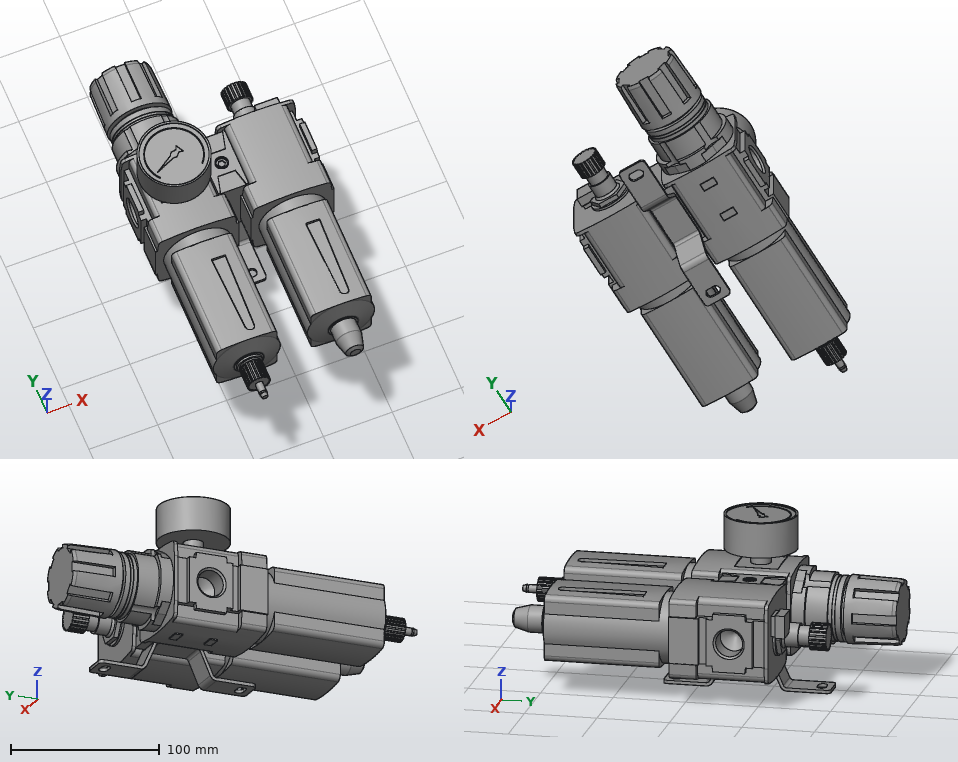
import cadquery as cq
import math

OVERALL_X = 129.5
UNIT_X = 34.5

FLANGE_TOP_Y = 26.7
FLANGE_THICKNESS = 2.5
UPPER_TOP_Y = FLANGE_TOP_Y - FLANGE_THICKNESS
LOWER_TOP_Y = -23.0
BODY_END_Y = -41.5

CROWN_Z = 29.8
CROWN_RADIUS = 149.2
FLAT_HALF_Z = 16.2
LOWER_FLAT_X = 28.8
LOWER_CORNER_X = 27.7
UPPER_SIDE_X = 22.8
UPPER_SLAB_X = 26.5
CORNER_FILLET = 3.5
LUBRICATOR_UPPER_FILLET = 4.5
PAD_X = OVERALL_X / 2 - UNIT_X

LOWER_PAD_TOP_Y = -21.2
PORT_PAD_TOP_Y = 16.2
PORT_PAD_END_Y = -15.7
PORT_EAR_HALF_Y = 11.0
PORT_EAR_TAPER = 0.5
PORT_EAR_HALF_Z = 20.2
PORT_DIAMETER = 18.5
PORT_MOUTH_DIAMETER = 21.5
PORT_DEPTH = 15.7
PORT_TIP_DEPTH = 7.9

COLLAR_DIAMETER = 48.7
COLLAR_BASE_Y = 35.9
COLLAR_TOP_Y = 51.0
BONNET_GROOVE_LOW_Y = 53.7
BONNET_GROOVE_HIGH_Y = 55.8
BONNET_NECK_Y = 59.7
BONNET_RING_DIAMETER = 45.0
BONNET_GROOVE_DIAMETER = 43.7
BONNET_NECK_DIAMETER = 37.5
BONNET_DISC_DIAMETER = 55.0
SCREW_SEAT_Y = 33.0
SCREW_DIAMETER = 14.0
SCREW_CENTER_R = 30.5
SCREW_ANGLE = 56.0
RELIEF_RIDGE_R = 26.5
RELIEF_HALF_ANGLE = 21.0
FOOT_SIZE = (10.5, 5.5)
FOOT_Y = 12.8
FOOT_BOTTOM_Z = -30.5
FOOT_ROOT = 2.5

KNOB_BASE_Y = 62.0
KNOB_TOP_Y = 98.0
KNOB_RIM_DIAMETER = 46.9
KNOB_TOP_DIAMETER = 45.0
KNOB_EDGE = 2.5
KNOB_END_DIAMETER = 43.7
KNOB_GROOVES = 8
KNOB_GROOVE_WIDTH = 7.0
KNOB_GROOVE_FLOOR_R = 19.5
KNOB_GROOVE_END_Y = 67.5

GAUGE_DIAMETER = 50.0
GAUGE_TOP_Z = 63.0
GAUGE_BASE_Z = 39.0
STEM_DIAMETER = 14.0
STEM_END_Z = 26.2
GAUGE_SEAT_Z = 29.0
GAUGE_SEAT_HALF = 15.0
DIAL_DIAMETER = 47.0
DIAL_DEPTH = 0.8
SCALE_RADIUS = 20.2
SCALE_WIDTH = 0.5
SCALE_END_ANGLE = 41.0
NEEDLE_ANGLE = 29.0
NEEDLE_POINT = -17.5
NEEDLE_EDGE = [(-2.4, 1.3), (0, 2.5), (3.7, 1.3), (6.0, 3.1)]
MARK_DEPTH = 0.5

BOWL_DIAMETER = 48.7
BOWL_PRISM_TOP_Y = -50.0
BOWL_HALF_X = 22.0
BOWL_CROWN_Z = BOWL_DIAMETER / 2
BOWL_CORNER_Z = 22.5
BOWL_FILLET = 4.2
FILTER_BOWL_END_Y = -131.0
OIL_BOWL_END_Y = -129.0
BOWL_CONE_LENGTH = 3.7
BOWL_CONE_END_DIAMETER = 22.8
BOWL_COLLAR_DIAMETER = 21.5
BOWL_COLLAR_LENGTH = 0.5
WINDOW_X = 6.0
WINDOW_LENGTH = 59.7
WINDOW_END_GAP = 6.3
WINDOW_TOP_HALF = 5.0
WINDOW_END_HALF = 3.1
WINDOW_FLOOR_Z = 22.0

KNURL_COUNT = 20
KNURL_DEPTH = 0.8
KNURL_WIDTH = 1.0
DRAIN_KNOB_DIAMETER = 16.5
DRAIN_KNOB_TOP_Y = -138.2
DRAIN_KNOB_END_Y = -152.9
DRAIN_NECK_DIAMETER = 15.2
DRAIN_NECK_TOP_Y = -136.6
DRAIN_PIN_DIAMETER = 5.5
DRAIN_PIN_GROOVE_DIAMETER = 4.7
DRAIN_PIN_TIP_DIAMETER = 4.0
DRAIN_GROOVE_TOP_Y = -160.0
DRAIN_GROOVE_END_Y = -161.2
DRAIN_PIN_END_Y = -163.9
NOSE_DIAMETER = 18.5
NOSE_END_DIAMETER = 13.0
NOSE_FACE_DIAMETER = 7.5
NOSE_CONE_Y = -143.5
NOSE_EDGE_Y = -153.5
NOSE_END_Y = -155.0
OIL_KNOB_DIAMETER = 18.5
OIL_KNOB_BASE_Y = 50.3
OIL_KNOB_TOP_Y = 62.0

CAP_X = -0.8
HEX_CORNER_DIAMETER = 27.7
HEX_TOP_Y = 31.5
HEX_WASHER_DIAMETER = 29.3
HEX_WASHER_THICKNESS = 1.5
SIGHT_DIAMETER = 16.5
SIGHT_FLARE_DIAMETER = 18.8
SIGHT_FLARE_Y = 33.2
SIGHT_TOP_Y = 42.5
OIL_NECK_DIAMETER = 14.0
PLUG_X = 12.0
PLUG_Z = 11.0
PLUG_WIDTH = 16.8
PLUG_HEIGHT_Z = 15.7
PLUG_TOP_Y = 36.0
PLUG_FOOT_TOP_Y = 29.5
PLUG_FOOT_INSET = 0.8

CONNECTOR_HALF_X = 11.0
CONNECTOR_TOP_Z = 26.7
CONNECTOR_BOTTOM_Z = -24.0
CONNECTOR_TOP_Y = 22.5
CONNECTOR_END_Y = -21.2
WEDGE_START_Y = 9.0
WEDGE_START_DEPTH = 0.5
WEDGE_END_DEPTH = 1.5
WEDGE_START_HALF_X = 6.3
WEDGE_END_HALF_X = 9.7
CLAMP_SCREW_DIAMETER = 9.2
CLAMP_SCREW_DEPTH = 0.8
CLAMP_HEAD_DIAMETER = 7.5
CLAMP_HEAD_DEPTH = 1.5
CLAMP_SOCKET_DIAMETER = 5.2
CLAMP_SOCKET_DEPTH = 2.5

BRACKET_WIDTH = 20.0
BRACKET_THICKNESS = 2.4
BRACKET_BOTTOM_Z = -47.0
BRACKET_HALF_Y = 57.5
BRACKET_FOOT_START_Y = 26.2
BRACKET_LEG_ANGLE = 66.0
BRACKET_INNER_BEND = 2.5
BRACKET_OUTER_BEND = BRACKET_INNER_BEND + BRACKET_THICKNESS
BRACKET_CORNER_FILLET = 3.0
SLOT_LENGTH = 10.5
SLOT_WIDTH = 6.3
SLOT_Y = 50.0



def turned(profile):
    """Solid of revolution about the Y axis from (diameter, y) steps."""
    points = [(diameter / 2, y) for diameter, y in profile]
    points = [(0, points[0][1])] + points + [(0, points[-1][1])]
    return cq.Workplane("XY").polyline(points).close().revolve(360, (0, 0, 0), (0, 1, 0))


def across(y_high):
    """Sketch plane normal to Y; extruding runs towards -Y from y_high."""
    return cq.Workplane("XZ", origin=(0, y_high, 0))


def box(x_range, y_range, z_range):
    low, high = zip(sorted(x_range), sorted(y_range), sorted(z_range))
    size = [b - a for a, b in zip(low, high)]
    return cq.Workplane("XY").box(*size, centered=False).translate(low)


def crowned_bar(corner, crown_z, flat_x, fillet, y_high, y_low):
    """Bar along Y with bowed top and bottom, sides plane up to FLAT_HALF_Z, and round corners."""
    x, z = corner
    bar = (
        across(y_high)
        .moveTo(-x, z)
        .threePointArc((0, crown_z), (x, z))
        .lineTo(flat_x, FLAT_HALF_Z)
        .lineTo(flat_x, -FLAT_HALF_Z)
        .lineTo(x, -z)
        .threePointArc((0, -crown_z), (-x, -z))
        .lineTo(-flat_x, -FLAT_HALF_Z)
        .lineTo(-flat_x, FLAT_HALF_Z)
        .close()
        .extrude(y_high - y_low)
    )
    middle_y = (y_high + y_low) / 2
    for corner_x in (-x, x):
        for corner_z in (-z, z):
            nearest = cq.selectors.NearestToPointSelector((corner_x, middle_y, corner_z))
            bar = bar.edges("|Y").edges(nearest).fillet(fillet)
    return bar


def knurled(diameter, y_high, y_low):
    """Cylinder along Y with evenly spaced straight grooves."""
    grooves = (
        across(y_high)
        .polarArray(diameter / 2, 0, 360, KNURL_COUNT)
        .rect(2 * KNURL_DEPTH, KNURL_WIDTH)
        .extrude(y_high - y_low)
    )
    return turned([(diameter, y_high), (diameter, y_low)]).cut(grooves)



def port_pad(side):
    """Raised cross-shaped pad round the port on the outer side (side is -1 or +1)."""
    ear_root = PORT_EAR_HALF_Y + PORT_EAR_TAPER
    upper = [
        (PORT_PAD_TOP_Y, FLAT_HALF_Z),
        (ear_root, FLAT_HALF_Z),
        (PORT_EAR_HALF_Y, PORT_EAR_HALF_Z),
        (-PORT_EAR_HALF_Y, PORT_EAR_HALF_Z),
        (-ear_root, FLAT_HALF_Z),
        (PORT_PAD_END_Y, FLAT_HALF_Z),
    ]
    lower = [(y, -z) for y, z in reversed(upper)]
    face = cq.Workplane("YZ", origin=(UPPER_SLAB_X, 0, 0)).polyline(upper + lower).close()
    pad = face.extrude(PAD_X - UPPER_SLAB_X)
    return pad if side > 0 else pad.mirror("YZ")


def port_hole(side):
    """Chamfered blind hole with a conical end, bored inwards along X."""
    chamfer = (PORT_MOUTH_DIAMETER - PORT_DIAMETER) / 2
    floor_x = PAD_X - PORT_DEPTH
    hole = (
        cq.Workplane("XY")
        .moveTo(PAD_X, 0)
        .lineTo(PAD_X, PORT_MOUTH_DIAMETER / 2)
        .lineTo(PAD_X - chamfer, PORT_DIAMETER / 2)
        .lineTo(floor_x, PORT_DIAMETER / 2)
        .lineTo(floor_x - PORT_TIP_DEPTH, 0)
        .close()
        .revolve(360, (0, 0, 0), (1, 0, 0))
    )
    return hole if side > 0 else hole.mirror("YZ")


def block_section(corner_x, flat_x, y_high, y_low, fillet=CORNER_FILLET):
    """One section of the body block; all sections share the same crown."""
    corner_z = CROWN_Z - CROWN_RADIUS + math.sqrt(CROWN_RADIUS**2 - corner_x**2)
    return crowned_bar((corner_x, corner_z), CROWN_Z, flat_x, fillet, y_high, y_low)


def unit_block(side, upper_fillet=CORNER_FILLET):
    """Body block common to both units, centred on X = 0, with its port on the given side."""
    flange = block_section(LOWER_CORNER_X, LOWER_FLAT_X, FLANGE_TOP_Y, UPPER_TOP_Y)
    upper = block_section(UPPER_SIDE_X, UPPER_SIDE_X, UPPER_TOP_Y, LOWER_TOP_Y, upper_fillet)
    lower = block_section(LOWER_CORNER_X, LOWER_FLAT_X, LOWER_TOP_Y, BODY_END_Y)
    slab = box((-UPPER_SLAB_X, UPPER_SLAB_X), (UPPER_TOP_Y, LOWER_TOP_Y), (-FLAT_HALF_Z, FLAT_HALF_Z))
    lower_pads = box((-PAD_X, PAD_X), (LOWER_TOP_Y, BODY_END_Y), (-FLAT_HALF_Z, FLAT_HALF_Z))
    outer_pad = box(
        (side * UPPER_SIDE_X, side * PAD_X), (LOWER_PAD_TOP_Y, LOWER_TOP_Y), (-FLAT_HALF_Z, FLAT_HALF_Z)
    )
    block = flange.union(upper).union(slab).union(lower).union(lower_pads).union(outer_pad)
    return block.union(port_pad(side)).cut(port_hole(side))


def bonnet():
    """Stepped round bonnet that carries the knob, with clearances for four screws."""
    body = turned([
        (BONNET_DISC_DIAMETER, FLANGE_TOP_Y),
        (BONNET_DISC_DIAMETER, COLLAR_BASE_Y),
        (COLLAR_DIAMETER, COLLAR_BASE_Y),
        (COLLAR_DIAMETER, COLLAR_TOP_Y),
        (BONNET_RING_DIAMETER, COLLAR_TOP_Y),
        (BONNET_RING_DIAMETER, BONNET_GROOVE_LOW_Y),
        (BONNET_GROOVE_DIAMETER, BONNET_GROOVE_LOW_Y),
        (BONNET_GROOVE_DIAMETER, BONNET_GROOVE_HIGH_Y),
        (BONNET_RING_DIAMETER, BONNET_GROOVE_HIGH_Y),
        (BONNET_RING_DIAMETER, BONNET_NECK_Y),
        (BONNET_NECK_DIAMETER, BONNET_NECK_Y),
        (BONNET_NECK_DIAMETER, KNOB_BASE_Y),
    ])
    for angle in (SCREW_ANGLE, 180 - SCREW_ANGLE, 180 + SCREW_ANGLE, -SCREW_ANGLE):
        body = body.cut(screw_scallop(angle)).cut(screw_relief(angle))
    return body


def polar(radius, degrees):
    return (radius * math.cos(math.radians(degrees)), radius * math.sin(math.radians(degrees)))


def screw_scallop(angle):
    """Round clearance that runs down the collar to the screw seat."""
    return (
        across(COLLAR_TOP_Y)
        .center(*polar(SCREW_CENTER_R, angle))
        .circle(SCREW_DIAMETER / 2)
        .extrude(COLLAR_TOP_Y - SCREW_SEAT_Y)
    )


def screw_relief(angle):
    """Two shallow facets on the disc below the screw seat."""
    rim = BONNET_DISC_DIAMETER / 2
    points = [
        polar(rim, angle - RELIEF_HALF_ANGLE),
        polar(RELIEF_RIDGE_R, angle),
        polar(rim, angle + RELIEF_HALF_ANGLE),
        polar(2 * rim, angle),
    ]
    return across(SCREW_SEAT_Y).polyline(points).close().extrude(SCREW_SEAT_Y - FLANGE_TOP_Y)


def regulator_body():
    body = unit_block(-1).union(bonnet())
    for y in (-FOOT_Y, FOOT_Y):
        half_x = FOOT_SIZE[0] / 2
        half_y = FOOT_SIZE[1] / 2
        top_z = FOOT_ROOT - CROWN_Z
        body = body.union(box((-half_x, half_x), (y - half_y, y + half_y), (FOOT_BOTTOM_Z, top_z)))
    stem_hole = (
        cq.Workplane("XY", origin=(0, 0, STEM_END_Z)).circle(STEM_DIAMETER / 2).extrude(CROWN_Z - STEM_END_Z)
    )
    seat_side = (-GAUGE_SEAT_HALF, GAUGE_SEAT_HALF)
    seat = box(seat_side, seat_side, (GAUGE_SEAT_Z, CROWN_Z))
    return body.cut(stem_hole).cut(seat).translate((-UNIT_X, 0, 0))


def lubricator_body():
    hex_base = (
        across(HEX_TOP_Y).polygon(6, HEX_CORNER_DIAMETER).extrude(HEX_TOP_Y - FLANGE_TOP_Y)
    )
    sight = turned([
        (HEX_WASHER_DIAMETER, FLANGE_TOP_Y),
        (HEX_WASHER_DIAMETER, FLANGE_TOP_Y + HEX_WASHER_THICKNESS),
        (SIGHT_FLARE_DIAMETER, FLANGE_TOP_Y + HEX_WASHER_THICKNESS),
        (SIGHT_FLARE_DIAMETER, HEX_TOP_Y),
        (SIGHT_DIAMETER, SIGHT_FLARE_Y),
        (SIGHT_DIAMETER, SIGHT_TOP_Y),
        (OIL_NECK_DIAMETER, SIGHT_TOP_Y),
        (OIL_NECK_DIAMETER, OIL_KNOB_BASE_Y),
    ])
    knob = knurled(OIL_KNOB_DIAMETER, OIL_KNOB_TOP_Y, OIL_KNOB_BASE_Y)
    cap = hex_base.union(sight).union(knob).translate((CAP_X, 0, 0))
    body = unit_block(1, LUBRICATOR_UPPER_FILLET).union(cap).union(filler_plug())
    return body.translate((UNIT_X, 0, 0))


def filler_plug():
    """Square filler plug beside the sight glass, on a slightly smaller foot."""
    foot_width = PLUG_WIDTH - 2 * PLUG_FOOT_INSET
    foot_height = PLUG_HEIGHT_Z - 2 * PLUG_FOOT_INSET
    head = across(PLUG_TOP_Y).center(PLUG_X, PLUG_Z).rect(PLUG_WIDTH, PLUG_HEIGHT_Z)
    foot = across(PLUG_FOOT_TOP_Y).center(PLUG_X, PLUG_Z).rect(foot_width, foot_height)
    return head.extrude(PLUG_TOP_Y - PLUG_FOOT_TOP_Y).union(foot.extrude(PLUG_FOOT_TOP_Y - FLANGE_TOP_Y))



def regulator_knob():
    knob = turned([
        (KNOB_RIM_DIAMETER, KNOB_BASE_Y),
        (KNOB_TOP_DIAMETER, KNOB_TOP_Y - KNOB_EDGE),
        (KNOB_END_DIAMETER, KNOB_TOP_Y),
    ])
    groove_depth = KNOB_RIM_DIAMETER / 2 - KNOB_GROOVE_FLOOR_R
    grooves = (
        across(KNOB_TOP_Y)
        .polarArray(KNOB_GROOVE_FLOOR_R + groove_depth / 2, 0, 360, KNOB_GROOVES)
        .rect(groove_depth, KNOB_GROOVE_WIDTH)
        .extrude(KNOB_TOP_Y - KNOB_GROOVE_END_Y)
    )
    return knob.cut(grooves).translate((-UNIT_X, 0, 0))



def gauge():
    case = cq.Workplane("XY", origin=(0, 0, GAUGE_BASE_Z)).circle(GAUGE_DIAMETER / 2)
    stem = cq.Workplane("XY", origin=(0, 0, STEM_END_Z)).circle(STEM_DIAMETER / 2)
    body = case.extrude(GAUGE_TOP_Z - GAUGE_BASE_Z).union(stem.extrude(GAUGE_BASE_Z - STEM_END_Z))
    dial_z = GAUGE_TOP_Z - DIAL_DEPTH
    dial = cq.Workplane("XY", origin=(0, 0, dial_z)).circle(DIAL_DIAMETER / 2).extrude(DIAL_DEPTH)
    marks = scale_arc(dial_z - MARK_DEPTH).union(needle(dial_z - MARK_DEPTH))
    return body.cut(dial).cut(marks).translate((-UNIT_X, 0, 0))


def scale_arc(floor_z):
    """Engraved arc of the dial scale, open at the bottom."""
    inner = SCALE_RADIUS - SCALE_WIDTH / 2
    outer = SCALE_RADIUS + SCALE_WIDTH / 2
    start = 180 + SCALE_END_ANGLE
    end = -SCALE_END_ANGLE
    return (
        cq.Workplane("XY", origin=(0, 0, floor_z))
        .moveTo(*polar(outer, start))
        .threePointArc((0, outer), polar(outer, end))
        .lineTo(*polar(inner, end))
        .threePointArc((0, inner), polar(inner, start))
        .close()
        .extrude(MARK_DEPTH)
    )


def needle(floor_z):
    """Engraved needle: long point, wide hub, narrow neck and flared tail."""
    lower = [(along, -off) for along, off in reversed(NEEDLE_EDGE)]
    return (
        cq.Workplane("XY", origin=(0, 0, floor_z))
        .polyline([(NEEDLE_POINT, 0)] + NEEDLE_EDGE + lower)
        .close()
        .extrude(MARK_DEPTH)
        .rotate((0, 0, 0), (0, 0, 1), NEEDLE_ANGLE)
    )



def bowl(end_y):
    """Round bowl with a squared lower part, shallow conical end and a tapered sight window."""
    cone_end_y = end_y - BOWL_CONE_LENGTH
    shell = turned([
        (BOWL_DIAMETER, BODY_END_Y),
        (BOWL_DIAMETER, end_y),
        (BOWL_CONE_END_DIAMETER, cone_end_y),
        (BOWL_COLLAR_DIAMETER, cone_end_y),
        (BOWL_COLLAR_DIAMETER, cone_end_y - BOWL_COLLAR_LENGTH),
    ])
    corner = (BOWL_HALF_X, BOWL_CORNER_Z)
    prism = crowned_bar(corner, BOWL_CROWN_Z, BOWL_HALF_X, BOWL_FILLET, BOWL_PRISM_TOP_Y, end_y)
    return shell.union(prism).cut(window(end_y + WINDOW_END_GAP))


def window(end_y):
    """Recess in the crowned face that narrows to a rounded end."""
    round_y = end_y + WINDOW_END_HALF
    top_y = end_y + WINDOW_LENGTH
    return (
        cq.Workplane("XY", origin=(WINDOW_X, 0, WINDOW_FLOOR_Z))
        .moveTo(-WINDOW_TOP_HALF, top_y)
        .lineTo(WINDOW_TOP_HALF, top_y)
        .lineTo(WINDOW_END_HALF, round_y)
        .threePointArc((0, end_y), (-WINDOW_END_HALF, round_y))
        .close()
        .extrude(BOWL_CROWN_Z - WINDOW_FLOOR_Z + 2.5)
    )


def filter_bowl():
    """Bowl of the filter regulator with its knurled drain knob and pin."""
    neck_top_y = FILTER_BOWL_END_Y - BOWL_CONE_LENGTH
    pin = turned([
        (NOSE_DIAMETER, neck_top_y),
        (NOSE_DIAMETER, DRAIN_NECK_TOP_Y),
        (DRAIN_NECK_DIAMETER, DRAIN_NECK_TOP_Y),
        (DRAIN_NECK_DIAMETER, DRAIN_KNOB_TOP_Y),
        (DRAIN_PIN_DIAMETER, DRAIN_KNOB_TOP_Y),
        (DRAIN_PIN_DIAMETER, DRAIN_GROOVE_TOP_Y),
        (DRAIN_PIN_GROOVE_DIAMETER, DRAIN_GROOVE_TOP_Y),
        (DRAIN_PIN_GROOVE_DIAMETER, DRAIN_GROOVE_END_Y),
        (DRAIN_PIN_DIAMETER, DRAIN_GROOVE_END_Y),
        (DRAIN_PIN_TIP_DIAMETER, DRAIN_PIN_END_Y),
    ])
    knob = knurled(DRAIN_KNOB_DIAMETER, DRAIN_KNOB_TOP_Y, DRAIN_KNOB_END_Y)
    return bowl(FILTER_BOWL_END_Y).union(pin).union(knob).translate((-UNIT_X, 0, 0))


def oil_bowl():
    """Bowl of the lubricator with its tapered nose."""
    nose = turned([
        (NOSE_DIAMETER, OIL_BOWL_END_Y - BOWL_CONE_LENGTH),
        (NOSE_DIAMETER, NOSE_CONE_Y),
        (NOSE_END_DIAMETER, NOSE_EDGE_Y),
        (NOSE_FACE_DIAMETER, NOSE_END_Y),
    ])
    return bowl(OIL_BOWL_END_Y).union(nose).translate((UNIT_X, 0, 0))



def connector():
    """Block between the two units, waisted where it passes their side slabs."""
    waist_x = UNIT_X - UPPER_SLAB_X
    right = [
        (CONNECTOR_HALF_X, CONNECTOR_TOP_Z),
        (CONNECTOR_HALF_X, FLAT_HALF_Z),
        (waist_x, FLAT_HALF_Z),
        (waist_x, -FLAT_HALF_Z),
        (CONNECTOR_HALF_X, -FLAT_HALF_Z),
        (CONNECTOR_HALF_X, CONNECTOR_BOTTOM_Z),
    ]
    left = [(-x, z) for x, z in reversed(right)]
    block = across(CONNECTOR_TOP_Y).polyline(right + left).close().extrude(CONNECTOR_TOP_Y - CONNECTOR_END_Y)
    face = cq.Workplane("XY", origin=(0, 0, CONNECTOR_TOP_Z))
    recess = face.circle(CLAMP_SCREW_DIAMETER / 2).extrude(-CLAMP_SCREW_DEPTH)
    head = face.circle(CLAMP_HEAD_DIAMETER / 2).extrude(-CLAMP_HEAD_DEPTH)
    socket = face.polygon(6, CLAMP_SOCKET_DIAMETER).extrude(-CLAMP_SOCKET_DEPTH)
    wedge = wedge_pocket()
    return block.cut(recess).cut(head).cut(socket).cut(wedge).cut(wedge.mirror("XZ"))


def wedge_pocket():
    """Pocket that widens and deepens from the middle of the connector towards its +Y end."""
    end_y = CONNECTOR_TOP_Y
    plan = (
        cq.Workplane("XY", origin=(0, 0, CONNECTOR_TOP_Z - 2.5))
        .polyline([
            (-WEDGE_START_HALF_X, WEDGE_START_Y),
            (WEDGE_START_HALF_X, WEDGE_START_Y),
            (WEDGE_END_HALF_X, end_y),
            (-WEDGE_END_HALF_X, end_y),
        ])
        .close()
        .extrude(5.2)
    )
    slope = (
        cq.Workplane("YZ", origin=(-CONNECTOR_HALF_X, 0, CONNECTOR_TOP_Z))
        .polyline([
            (WEDGE_START_Y, 0),
            (WEDGE_START_Y, -WEDGE_START_DEPTH),
            (end_y, -WEDGE_END_DEPTH),
            (end_y, 0),
        ])
        .close()
        .extrude(2 * CONNECTOR_HALF_X)
    )
    return plan.intersect(slope)



def fillet_bends(strip, bends, radius):
    """Round the cross edges of the strip at the given (y, z) bend points."""
    for y, z in bends:
        strip = strip.edges(cq.selectors.NearestToPointSelector((0, y, z))).fillet(radius)
    return strip


def mounting_bracket():
    """Bent strip: a plate under the connector, two sloping legs and two slotted feet."""
    plate_top_z = CONNECTOR_BOTTOM_Z
    foot_top_z = BRACKET_BOTTOM_Z + BRACKET_THICKNESS
    leg_run = (plate_top_z - foot_top_z) / math.tan(math.radians(BRACKET_LEG_ANGLE))
    plate_half_y = BRACKET_FOOT_START_Y - leg_run
    miter = BRACKET_THICKNESS * math.tan(math.radians(BRACKET_LEG_ANGLE / 2))
    half = [
        (plate_half_y, plate_top_z),
        (BRACKET_FOOT_START_Y, foot_top_z),
        (BRACKET_HALF_Y, foot_top_z),
        (BRACKET_HALF_Y, BRACKET_BOTTOM_Z),
        (BRACKET_FOOT_START_Y - miter, BRACKET_BOTTOM_Z),
        (plate_half_y - miter, plate_top_z - BRACKET_THICKNESS),
    ]
    other_half = [(-y, z) for y, z in reversed(half)]
    strip = (
        cq.Workplane("YZ", origin=(-BRACKET_WIDTH / 2, 0, 0))
        .polyline(half + other_half)
        .close()
        .extrude(BRACKET_WIDTH)
    )
    inner_bends = [half[1], half[5], other_half[4], other_half[0]]
    outer_bends = [half[0], half[4], other_half[5], other_half[1]]
    strip = fillet_bends(strip, inner_bends, BRACKET_INNER_BEND)
    strip = fillet_bends(strip, outer_bends, BRACKET_OUTER_BEND)
    strip = strip.edges("|Z").fillet(BRACKET_CORNER_FILLET)
    slots = (
        cq.Workplane("XY", origin=(0, 0, BRACKET_BOTTOM_Z))
        .pushPoints([(0, SLOT_Y), (0, -SLOT_Y)])
        .slot2D(SLOT_LENGTH, SLOT_WIDTH)
        .extrude(BRACKET_THICKNESS)
    )
    return strip.cut(slots)


result = cq.Compound.makeCompound([
    regulator_body().val(),
    regulator_knob().val(),
    gauge().val(),
    filter_bowl().val(),
    lubricator_body().val(),
    oil_bowl().val(),
    connector().val(),
    mounting_bracket().val(),
])